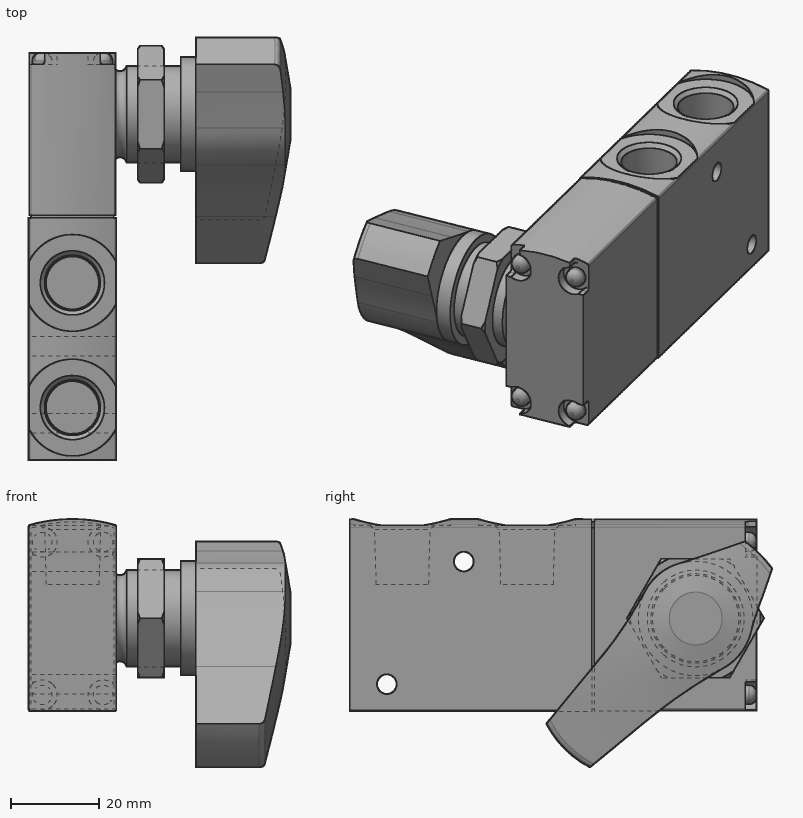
import cadquery as cq
import math

OVERALL_LENGTH = 96.0

BODY_WIDTH = 20.0
BODY_LENGTH = 55.0
CROWN_HEIGHT = 43.7
SHOULDER_HEIGHT = 42.2
EDGE_ROUND = 0.5
MID_X = BODY_WIDTH / 2

PORT_COUNT = 2
PORT_FIRST_Y = 11.9
PORT_PITCH = 28.3
SPOT_FACE_DIAMETER = 22.0
COUNTERSINK_DIAMETER = 14.6
PORT_MOUTH_DIAMETER = 12.7
PORT_FLOOR_DIAMETER = 12.0
COUNTERSINK_DEPTH = 1.0
PORT_DEPTH = 13.4

CROSS_HOLE_DIAMETER = 4.4
CROSS_HOLES = [(8.4, 6.1), (25.9, 34.0)]

REAR_END = 92.4
REAR_INSET = 0.14
SEAM_WIDTH = 0.6
SEAM_DEPTH = 0.6

NOTCH_WIDTH = 3.6
NOTCH_DEPTH = 2.6
NOTCH_HALF_SPACING = 14.4
NOTCH_ROUND = 0.6
BOSS_DIAMETER = 4.4
BOSS_FROM_SIDE = 3.1
BOSS_HALF_SPACING = 17.4
BOSS_ROUND = 1.8
POCKET_DIAMETER = 6.8

AXIS_Y = 78.5
AXIS_Z = 21.1
STUD_DIAMETER = 22.0
STUD_START = 22.3
NECK_ROOT_DIAMETER = 20.3
NECK_DIAMETER = 19.7
COLLAR_DIAMETER = 26.0
COLLAR_START = 34.5

NUT_START = 24.8
NUT_THICKNESS = 6.0
NUT_ACROSS_FLATS = 27.0
NUT_CHAMFER_DIAMETER = 29.6
NUT_CHAMFER_LENGTH = 0.6

GRIP_START = 38.0
GRIP_TOP = 59.5
CROWN_FLAT_DIAMETER = 12.0
CROWN_SLOPE = 0.17
GRIP_END_ROUND = 1.3
HUB_RADIUS = COLLAR_DIAMETER / 2
TIP_CORNER = (40.9, 7.0)
TIP_REACH = 41.9
LEVER_FLARE = (24.1, 8.6)
HUB_FRONT_REACH = 3.8
HUB_BACK_REACH = -6.7
TAIL_FLARE = (-14.5, 7.2)
TAIL_CORNER_REACH = -20.3
TAIL_CORNER = (TAIL_CORNER_REACH, (OVERALL_LENGTH - AXIS_Y) * math.sqrt(2) + TAIL_CORNER_REACH)
TAIL_REACH = -20.6


def crowned_block(inset, top_inset, y_start, y_end):
    """Block along Y with an arched top, moved in at the sides and bottom and, separately, at the top."""
    left = inset
    right = BODY_WIDTH - inset
    return (
        cq.Workplane("XZ", origin=(0, y_end, 0))
        .moveTo(left, inset)
        .lineTo(right, inset)
        .lineTo(right, SHOULDER_HEIGHT - top_inset)
        .threePointArc((MID_X, CROWN_HEIGHT - top_inset), (left, SHOULDER_HEIGHT - top_inset))
        .close()
        .extrude(y_end - y_start)
    )


def turned(profile):
    """Solid of revolution about the shaft axis from (x, radius) points."""
    return (
        cq.Workplane("XY", origin=(0, AXIS_Y, AXIS_Z))
        .polyline(profile)
        .close()
        .revolve(360, (0, 0, 0), (1, 0, 0))
    )


def shaft_cylinder(diameter, x_start, x_end):
    """Plain cylinder on the shaft axis."""
    return (
        cq.Workplane("YZ", origin=(x_start, AXIS_Y, AXIS_Z))
        .circle(diameter / 2)
        .extrude(x_end - x_start)
    )


def port_cutter(y):
    """Spot face, countersink and tapered bore of one port."""
    spot_face = (
        cq.Workplane("XY", origin=(MID_X, y, SHOULDER_HEIGHT))
        .circle(SPOT_FACE_DIAMETER / 2)
        .extrude(CROWN_HEIGHT)
    )
    bore = (
        cq.Workplane("XZ", origin=(MID_X, y, SHOULDER_HEIGHT))
        .polyline([
            (0, 0),
            (COUNTERSINK_DIAMETER / 2, 0),
            (PORT_MOUTH_DIAMETER / 2, -COUNTERSINK_DEPTH),
            (PORT_FLOOR_DIAMETER / 2, -PORT_DEPTH),
            (0, -PORT_DEPTH),
        ])
        .close()
        .revolve(360, (0, 0, 0), (0, 1, 0))
    )
    return spot_face.union(bore)


def make_valve_body():
    body = crowned_block(0, 0, 0, BODY_LENGTH).edges("|Y").fillet(EDGE_ROUND)
    for index in range(PORT_COUNT):
        body = body.cut(port_cutter(PORT_FIRST_Y + index * PORT_PITCH))
    cross_holes = (
        cq.Workplane("YZ")
        .pushPoints(CROSS_HOLES)
        .circle(CROSS_HOLE_DIAMETER / 2)
        .extrude(BODY_WIDTH)
    )
    return body.cut(cross_holes)


def boss_cylinder(side, level, diameter, length):
    """Cylinder on a boss axis, going in from the rear end; side and level are -1 or 1 along X and Z."""
    x = MID_X + side * (MID_X - BOSS_FROM_SIDE)
    z = AXIS_Z + level * BOSS_HALF_SPACING
    return cq.Workplane("XZ", origin=(x, REAR_END, z)).circle(diameter / 2).extrude(length)


def corner_notch(side, level):
    """Cutter for one rear corner: an open rounded notch and the round pocket behind it."""
    overhang = CROWN_HEIGHT
    pocket = boss_cylinder(side, level, POCKET_DIAMETER, NOTCH_DEPTH)
    inner_x = MID_X + side * (MID_X - NOTCH_WIDTH)
    inner_z = AXIS_Z + level * NOTCH_HALF_SPACING
    opening = (
        cq.Workplane("XY")
        .box(overhang, overhang, overhang)
        .edges()
        .fillet(NOTCH_ROUND)
        .translate((
            inner_x + side * overhang / 2,
            REAR_END - NOTCH_DEPTH + overhang / 2,
            inner_z + level * overhang / 2,
        ))
    )
    return opening.union(pocket)


def corner_boss(side, level):
    """Domed boss that stands in one corner notch."""
    boss = boss_cylinder(side, level, BOSS_DIAMETER, 2 * NOTCH_DEPTH)
    return boss.faces(">Y").edges().fillet(BOSS_ROUND)


def make_bushing():
    """Grooved neck, stud and end collar, starting inside the housing."""
    neck_start = BODY_WIDTH - REAR_INSET
    neck_middle = (neck_start + STUD_START) / 2
    return (
        cq.Workplane("XY", origin=(0, AXIS_Y, AXIS_Z))
        .moveTo(MID_X, 0)
        .lineTo(MID_X, NECK_ROOT_DIAMETER / 2)
        .lineTo(neck_start, NECK_ROOT_DIAMETER / 2)
        .threePointArc((neck_middle, NECK_DIAMETER / 2), (STUD_START, STUD_DIAMETER / 2))
        .lineTo(COLLAR_START, STUD_DIAMETER / 2)
        .lineTo(COLLAR_START, COLLAR_DIAMETER / 2)
        .lineTo(GRIP_START, COLLAR_DIAMETER / 2)
        .lineTo(GRIP_START, 0)
        .close()
        .revolve(360, (0, 0, 0), (1, 0, 0))
    )


def make_rear_housing():
    housing_start = BODY_LENGTH + SEAM_WIDTH
    housing = crowned_block(REAR_INSET, 0, housing_start, REAR_END)
    housing = housing.edges("|Y").fillet(EDGE_ROUND)
    corners = [(side, level) for side in (-1, 1) for level in (-1, 1)]
    for side, level in corners:
        housing = housing.cut(corner_notch(side, level))
    for side, level in corners:
        housing = housing.union(corner_boss(side, level))
    seam_step = crowned_block(SEAM_DEPTH, SEAM_DEPTH, BODY_LENGTH, housing_start + SEAM_WIDTH)
    return housing.union(seam_step).union(make_bushing())


def make_nut():
    """Hexagon nut with corners along Y, chamfered at both ends."""
    corner_diameter = NUT_ACROSS_FLATS / math.cos(math.pi / 6)
    nut_end = NUT_START + NUT_THICKNESS
    hexagon = (
        cq.Workplane("YZ", origin=(NUT_START, AXIS_Y, AXIS_Z))
        .polygon(6, corner_diameter)
        .extrude(NUT_THICKNESS)
    )
    chamfered_round = turned([
        (NUT_START, 0),
        (NUT_START, NUT_CHAMFER_DIAMETER / 2),
        (NUT_START + NUT_CHAMFER_LENGTH, corner_diameter / 2),
        (nut_end - NUT_CHAMFER_LENGTH, corner_diameter / 2),
        (nut_end, NUT_CHAMFER_DIAMETER / 2),
        (nut_end, 0),
    ])
    return hexagon.intersect(chamfered_round).cut(shaft_cylinder(STUD_DIAMETER, NUT_START, nut_end))


def mirrored(point):
    return (point[0], -point[1])


def make_grip_outline():
    """Lever outline: a round hub that flows into a long arm and a short tail."""
    hub_front = (HUB_FRONT_REACH, math.sqrt(HUB_RADIUS**2 - HUB_FRONT_REACH**2))
    hub_back = (HUB_BACK_REACH, math.sqrt(HUB_RADIUS**2 - HUB_BACK_REACH**2))
    hub_side = (0, HUB_RADIUS)
    lever_plane = cq.Plane(origin=(GRIP_START, AXIS_Y, AXIS_Z), xDir=(0, -1, -1), normal=(1, 0, 0))
    return (
        cq.Workplane(lever_plane)
        .moveTo(*TIP_CORNER)
        .lineTo(*LEVER_FLARE)
        .tangentArcPoint(hub_front, relative=False)
        .threePointArc(hub_side, hub_back)
        .tangentArcPoint(TAIL_FLARE, relative=False)
        .lineTo(*TAIL_CORNER)
        .threePointArc((TAIL_REACH, 0), mirrored(TAIL_CORNER))
        .lineTo(*mirrored(TAIL_FLARE))
        .tangentArcPoint(mirrored(hub_back), relative=False)
        .threePointArc(mirrored(hub_side), mirrored(hub_front))
        .tangentArcPoint(mirrored(LEVER_FLARE), relative=False)
        .lineTo(*mirrored(TIP_CORNER))
        .threePointArc((TIP_REACH, 0), TIP_CORNER)
        .close()
    )


def grip_end_edge(reach):
    """Middle of the outer edge at one end of the lever."""
    offset = -reach / math.sqrt(2)
    x = GRIP_TOP - CROWN_SLOPE * (abs(reach) - CROWN_FLAT_DIAMETER / 2)
    return cq.selectors.NearestToPointSelector((x, AXIS_Y + offset, AXIS_Z + offset))


def make_handle():
    flat_radius = CROWN_FLAT_DIAMETER / 2
    outer_radius = TIP_REACH + HUB_RADIUS
    crown = turned([
        (GRIP_START, 0),
        (GRIP_START, outer_radius),
        (GRIP_TOP - CROWN_SLOPE * (outer_radius - flat_radius), outer_radius),
        (GRIP_TOP, flat_radius),
        (GRIP_TOP, 0),
    ])
    grip = make_grip_outline().extrude(GRIP_TOP - GRIP_START).intersect(crown)
    for reach in (TIP_REACH, TAIL_REACH):
        grip = grip.edges(grip_end_edge(reach)).fillet(GRIP_END_ROUND)
    return grip


valve_body = make_valve_body()
rear_housing = make_rear_housing()
nut = make_nut()
handle = make_handle()

result = cq.Compound.makeCompound([
    valve_body.val(),
    rear_housing.val(),
    nut.val(),
    handle.val(),
])